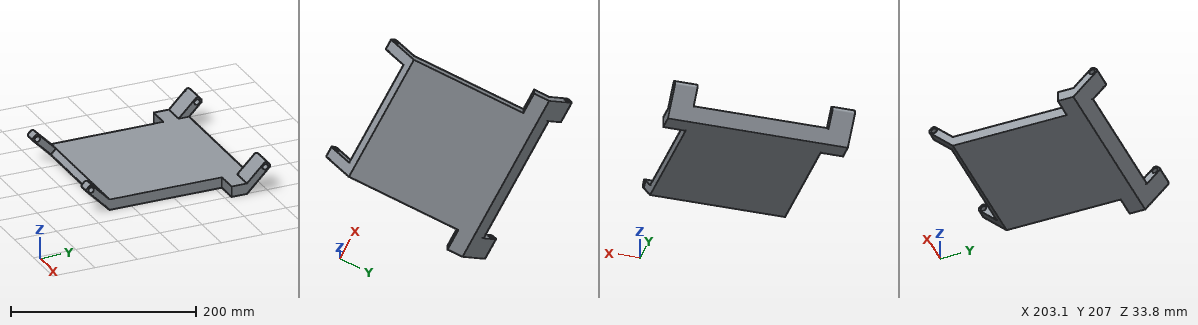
import cadquery as cq

plate_width = 152.5
bend_spacing = 151.5
overall_width = 203.1
thickness = 12.6
overall_length = 207.0
front_arm_width = thickness
tab_length = 18.2
upper_tip_radius = 3.0
lower_tip_radius = 2.5
pin_diameter = 6.5
pin_outward = 22.0

bend_y = bend_spacing / 2
half_width = plate_width / 2
rear_arm_width = (overall_width - plate_width) / 2
arm_reach = overall_length / 2 - bend_y
sharp_reach = arm_reach + (2 ** 0.5 - 1) * lower_tip_radius
pin_height = pin_outward + thickness / 2


def extrude_along_x(points, x_start, width):
    """Extrude a (Y, Z) outline from x_start toward +X."""
    return cq.Workplane("YZ").workplane(offset=x_start).polyline(points).close().extrude(width)


def make_arm(x_start, width, foot_length):
    """Arm rising at 45 degrees toward +Y, with a flat foot behind its bend."""
    foot_y = bend_y - foot_length
    outline = [
        (foot_y, 0),
        (bend_y, 0),
        (bend_y + sharp_reach, sharp_reach),
        (bend_y + sharp_reach - thickness / 2, sharp_reach + thickness / 2),
        (bend_y, thickness),
        (foot_y, thickness),
    ]
    arm = extrude_along_x(outline, x_start, width)
    arm = arm.edges("|X").edges(">Z").fillet(upper_tip_radius)
    arm = arm.edges("|X").edges(">Y").fillet(lower_tip_radius)
    pin_hole = (
        cq.Workplane("YZ")
        .workplane(offset=x_start)
        .center(bend_y + pin_outward, pin_height)
        .circle(pin_diameter / 2)
        .extrude(width)
    )
    return arm.cut(pin_hole)


plate_outline = [
    (-bend_y, 0),
    (bend_y, 0),
    (bend_y + thickness, thickness),
    (-bend_y, thickness),
    (-bend_y - thickness / 2, thickness / 2),
]
result = extrude_along_x(plate_outline, -half_width, plate_width)

for x_start in (-half_width - rear_arm_width, half_width):
    result = result.union(make_arm(x_start, rear_arm_width, tab_length))

for x_start in (-half_width, half_width - front_arm_width):
    front_arm = make_arm(x_start, front_arm_width, tab_length).mirror("XZ")
    result = result.union(front_arm)

result = result.clean()